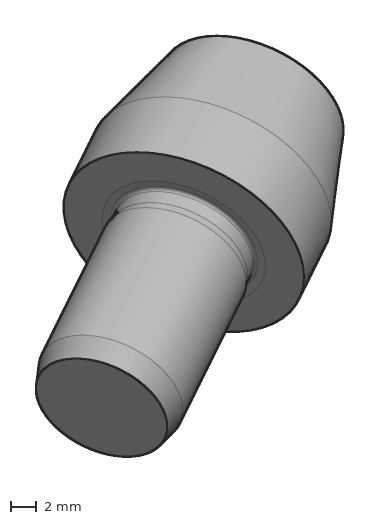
import cadquery as cq
import math

total_length = 33.0
head_diameter = 20.0
shank_diameter = 12.0
shank_length = 18.0
collar_length = 6.0
tip_length = 2.0
taper_angle = math.radians(15)

undercut_diameter = 11.6
undercut_length = 2.1
face_relief_diameter = 13.6
face_relief_angle = math.radians(8)
undercut_corner_radius = 0.25

head_radius = head_diameter / 2
shank_radius = shank_diameter / 2
undercut_radius = undercut_diameter / 2
face_relief_radius = face_relief_diameter / 2

head_top = total_length - shank_length
head_top_radius = head_radius - (head_top - collar_length) * math.tan(taper_angle)
tip_radius = shank_radius - tip_length * math.tan(taper_angle)
runout_length = (shank_radius - undercut_radius) / math.tan(taper_angle)

arc_center_x = undercut_radius + undercut_corner_radius


def corner_arc_point(angle, center_y):
    """Point on the undercut corner arc, angle measured from the +X direction."""
    return (
        arc_center_x + undercut_corner_radius * math.cos(angle),
        center_y + undercut_corner_radius * math.sin(angle),
    )


arc_start_angle = math.pi / 2 - face_relief_angle
arc_start_x = corner_arc_point(arc_start_angle, 0)[0]
arc_start_y = (face_relief_radius - arc_start_x) * math.tan(face_relief_angle)
arc_center_y = arc_start_y - undercut_corner_radius * math.sin(arc_start_angle)
arc_middle_angle = (arc_start_angle + math.pi) / 2

profile = (
    cq.Workplane("XY")
    .moveTo(0, head_top)
    .lineTo(head_top_radius, head_top)
    .lineTo(head_radius, collar_length)
    .lineTo(head_radius, 0)
    .lineTo(face_relief_radius, 0)
    .lineTo(arc_start_x, arc_start_y)
    .threePointArc(
        corner_arc_point(arc_middle_angle, arc_center_y),
        (undercut_radius, arc_center_y),
    )
    .lineTo(undercut_radius, runout_length - undercut_length)
    .lineTo(shank_radius, -undercut_length)
    .lineTo(shank_radius, tip_length - shank_length)
    .lineTo(tip_radius, -shank_length)
    .lineTo(0, -shank_length)
    .close()
)

result = profile.revolve(360, (0, 0, 0), (0, 1, 0))